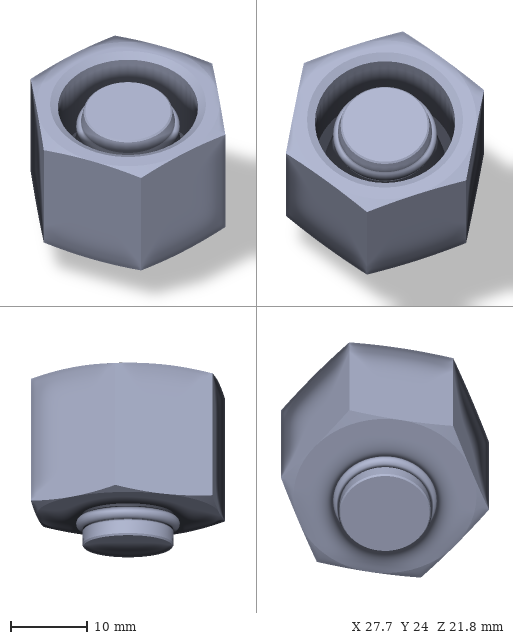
import cadquery as cq
import math


corner_width = 27.7
flat_width = corner_width * math.cos(math.radians(30))
nut_height = 17.5
corner_chamfer_angle = 15.0
bore_radius = 18.37 / 2
mouth_radius = 10.22
mouth_angle = 30.0
seat_angle = 45.0

stem_radius = 12.0 / 2
stem_protrusion = 4.27
stem_chamfer_width = 0.17
stem_chamfer_height = 0.25
plug_top_depth = 1.27
plug_top_radius = 5.6
plug_top_chamfer_width = 0.22
plug_top_chamfer_height = 0.2
cone_angle = 12.0
cone_base_radius = 8.04

groove_radius = 10.5 / 2
ring_section_radius = 1.55 / 2
groove_width = 1.77
stem_groove_top = -0.33
cone_groove_depth = 1.77

plug_top = nut_height - plug_top_depth
cone_top_radius = plug_top_radius + plug_top_chamfer_width
cone_top = plug_top - plug_top_chamfer_height
cone_slope = math.tan(math.radians(cone_angle))
cone_base = cone_top - (cone_base_radius - cone_top_radius) / cone_slope
stem_bottom = -stem_protrusion
stem_groove_bottom = stem_groove_top - groove_width
stem_ring_height = stem_groove_top - groove_width / 2
cone_groove_top = plug_top - cone_groove_depth
cone_groove_bottom = cone_groove_top - groove_width
cone_ring_height = cone_groove_top - groove_width / 2


def revolve_profile(points):
    """Turn a closed (radius, height) outline about the Z axis."""
    return cq.Workplane("XZ").polyline(points).close().revolve(360, (0, 0, 0), (0, 1, 0))


def cone_radius_at(height):
    return cone_top_radius + (cone_top - height) * cone_slope


def make_nut():
    hexagon = cq.Workplane("XY").polygon(6, corner_width).extrude(nut_height)

    corner_radius = corner_width / 2
    flat_radius = flat_width / 2
    bevel_height = (corner_radius - flat_radius) * math.tan(math.radians(corner_chamfer_angle))
    envelope = revolve_profile([
        (0, 0),
        (flat_radius, 0),
        (corner_radius, bevel_height),
        (corner_radius, nut_height - bevel_height),
        (flat_radius, nut_height),
        (0, nut_height),
    ])

    mouth_depth = (mouth_radius - bore_radius) * math.tan(math.radians(mouth_angle))
    seat_height = (bore_radius - cone_base_radius) * math.tan(math.radians(seat_angle))
    opening = revolve_profile([
        (0, 0),
        (stem_radius, 0),
        (stem_radius, cone_base),
        (cone_base_radius, cone_base),
        (bore_radius, cone_base + seat_height),
        (bore_radius, nut_height - mouth_depth),
        (mouth_radius, nut_height),
        (0, nut_height),
    ])
    return hexagon.intersect(envelope).cut(opening)


def make_plug():
    chamfered_stem_radius = stem_radius - stem_chamfer_width
    return revolve_profile([
        (0, stem_bottom),
        (chamfered_stem_radius, stem_bottom),
        (stem_radius, stem_bottom + stem_chamfer_height),
        (stem_radius, stem_groove_bottom - stem_chamfer_height),
        (chamfered_stem_radius, stem_groove_bottom),
        (groove_radius, stem_groove_bottom),
        (groove_radius, stem_groove_top),
        (stem_radius, stem_groove_top),
        (stem_radius, cone_base),
        (cone_base_radius, cone_base),
        (cone_radius_at(cone_groove_bottom), cone_groove_bottom),
        (groove_radius, cone_groove_bottom),
        (groove_radius, cone_groove_top),
        (cone_radius_at(cone_groove_top), cone_groove_top),
        (cone_top_radius, cone_top),
        (plug_top_radius, plug_top),
        (0, plug_top),
    ])


def make_o_ring(height):
    """An O-ring whose inside rests on the floor of its groove."""
    ring_radius = groove_radius + ring_section_radius
    section = cq.Workplane("XZ").center(ring_radius, height).circle(ring_section_radius)
    return section.revolve(360, (-ring_radius, 0, 0), (-ring_radius, 1, 0))


nut = make_nut()
plug = make_plug()
o_rings = [make_o_ring(height).val() for height in (stem_ring_height, cone_ring_height)]

result = cq.Compound.makeCompound([nut.val(), plug.val(), *o_rings])